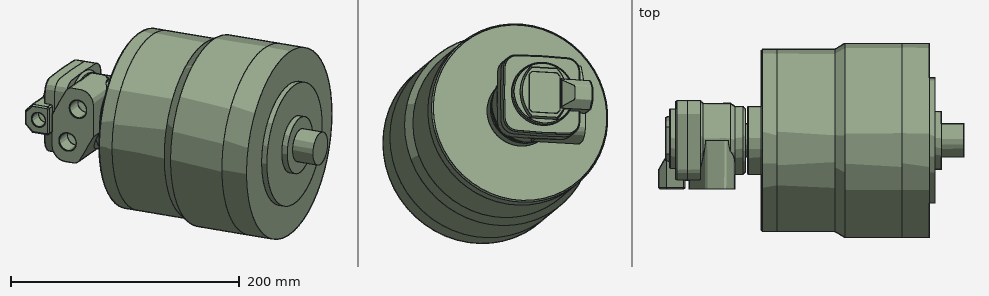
import cadquery as cq
import math


DRUM_DIAMETER = 170.0
DRUM_RADIUS = DRUM_DIAMETER / 2
NECK_RADIUS = 79.8
COVER_LENGTH = 13.5
COVER_CHAMFER = 1.3
CONE_START = 64.3
CONE_END = 73.2
REAR_COVER_START = 123.0
REAR_COVER_END = 147.0
PILOT_RADIUS = 55.0
PILOT_END = 152.2

RING_RADIUS = 25.4
RING_END = 157.5
SHAFT_RADIUS = 14.7
SHAFT_END = 177.3

STUB_RADIUS = 30.0
STUB_FRONT = -12.0
STUB_CHAMFER = 0.8
SPIGOT_RADIUS = SHAFT_RADIUS

BARREL_RADIUS = 32.5
TAPER_RADIUS = 34.7
BARREL_FRONT = -50.7
BARREL_END = -27.0
COLLAR_RADIUS = STUB_RADIUS
COLLAR_START = -23.0
DISTRIBUTOR_END = -13.5
COLLAR_CHAMFER = 2.5
SQUARE_BACK = -53.0
SQUARE_SEAM = -64.5
SQUARE_FRONT = -74.8
SQUARE_HALF = 35.0
SQUARE_CORNER_HALF = 34.2
SQUARE_CORNER_RADIUS = 11.7
SQUARE_CHAMFER = 1.0

BLOCK_X = -43.0
BLOCK_HALF_WIDTH = 20.0
BLOCK_HALF_HEIGHT = 34.7
BLOCK_SLOPE_TOP = 4.8
BLOCK_SLOPE_SIDE = 7.5
BLOCK_LARGE_RADIUS = 12.8
BLOCK_SMALL_RADIUS = 7.0
SIDE_FACE_Y = -42.5
PORT_RADIUS = 8.0
PORT_DEPTH = 16.0
PORT_OFFSET_X = 5.0
PORT_OFFSET_Z = 16.0
DRILL_HALF_ANGLE = 59.0
HOLE_CHAMFER = 0.5

STEP_RADIUS = 27.8
STEP_FRONT = -80.5
STEP_CHAMFER = 1.0
PAD_FRONT = -83.5
PAD_HALF_HEIGHT = 23.0
PAD_HALF_FLAT = 12.0
PAD_HALF_WIDTH = 21.4
PAD_DRAFT = 20.0
PAD_CUT_Y = -14.7
LABEL_HALF_WIDTH = 14.0
LABEL_HALF_HEIGHT = 18.2
LABEL_CORNER = 2.7
LABEL_DEPTH = 0.5
OUTLET_FRONT = -89.7
OUTLET_BACK = -66.5
OUTLET_HALF_HEIGHT = 13.0
OUTLET_HALF_FRONT = 6.1
OUTLET_SHOULDER_X = -82.8
OUTLET_START_Y = -15.8
OUTLET_SLOPE_START_X = -84.0
OUTLET_SLOPE_END_Y = -25.5
OUTLET_CHAMFER = 1.3
OUTLET_FILLET = 2.1
CABLE_HOLE_X = -76.4
CABLE_HOLE_RADIUS = 6.5
CABLE_HOLE_DEPTH = 13.4


def revolve_about_x(profile):
    """Turn an open (x, radius) profile, closed along the axis, about the X axis."""
    points = [(profile[0][0], 0), *profile, (profile[-1][0], 0)]
    return cq.Workplane("XY").polyline(points).close().revolve(360, (0, 0), (1, 0))


def cylinder_x(start, end, radius):
    return cq.Workplane("YZ", origin=(start, 0, 0)).circle(radius).extrude(end - start)


def square_prism(start, end):
    """Rounded square whose sides peak slightly at their middles."""
    outer = SQUARE_HALF
    inner = SQUARE_CORNER_HALF
    outline = [(outer, 0), (inner, inner), (0, outer), (-inner, inner),
               (-outer, 0), (-inner, -inner), (0, -outer), (inner, -inner)]
    prism = cq.Workplane("YZ", origin=(start, 0, 0)).polyline(outline).close().extrude(end - start)
    for y in (inner, -inner):
        for z in (inner, -inner):
            corner = ((start + end) / 2, y, z)
            prism = prism.edges(cq.selectors.NearestToPointSelector(corner)).fillet(SQUARE_CORNER_RADIUS)
    return prism


def side_hole(x, z, radius, depth):
    """Drilled hole with a chamfered rim and a conical bottom, entering the -Y side face."""
    tip = depth + radius / math.tan(math.radians(DRILL_HALF_ANGLE))
    profile = [
        (0, 0),
        (radius + HOLE_CHAMFER, 0),
        (radius, HOLE_CHAMFER),
        (radius, depth),
        (0, tip),
    ]
    drill = cq.Workplane("XY").polyline(profile).close().revolve(360, (0, 0), (0, 1))
    return drill.translate((x, SIDE_FACE_Y, z))


def make_front_cover():
    disc = cylinder_x(0, COVER_LENGTH, NECK_RADIUS).faces("<X").chamfer(COVER_CHAMFER)
    stub = cylinder_x(STUB_FRONT, 0, STUB_RADIUS).faces("<X").chamfer(STUB_CHAMFER)
    spigot = cylinder_x(DISTRIBUTOR_END, STUB_FRONT, SPIGOT_RADIUS)
    return disc.union(stub).union(spigot)


def make_housing():
    return revolve_about_x([
        (COVER_LENGTH, NECK_RADIUS),
        (CONE_START, NECK_RADIUS),
        (CONE_END, DRUM_RADIUS),
        (REAR_COVER_START, DRUM_RADIUS),
    ])


def make_rear_cover():
    return revolve_about_x([
        (REAR_COVER_START, DRUM_RADIUS),
        (REAR_COVER_END, DRUM_RADIUS),
        (REAR_COVER_END, PILOT_RADIUS),
        (PILOT_END, PILOT_RADIUS),
    ])


def make_retaining_ring():
    return cylinder_x(PILOT_END, RING_END, RING_RADIUS)


def make_output_shaft():
    return cylinder_x(RING_END, SHAFT_END, SHAFT_RADIUS)


def make_port_block():
    half_outline = [
        (-BLOCK_HALF_WIDTH, BLOCK_SLOPE_SIDE),
        (-BLOCK_SLOPE_TOP, BLOCK_HALF_HEIGHT),
        (BLOCK_HALF_WIDTH, BLOCK_HALF_HEIGHT),
    ]
    outline = half_outline + [(-x, -z) for x, z in half_outline]
    block = (
        cq.Workplane("XZ", origin=(BLOCK_X, 0, 0))
        .polyline(outline).close().extrude(-SIDE_FACE_Y)
    )
    for side in (1, -1):
        for x, radius in ((-BLOCK_SLOPE_TOP, BLOCK_SMALL_RADIUS), (BLOCK_HALF_WIDTH, BLOCK_LARGE_RADIUS)):
            corner = (BLOCK_X + side * x, SIDE_FACE_Y / 2, side * BLOCK_HALF_HEIGHT)
            block = block.edges(cq.selectors.NearestToPointSelector(corner)).fillet(radius)
    return block


def make_distributor():
    barrel = revolve_about_x([
        (SQUARE_BACK, TAPER_RADIUS),
        (BARREL_FRONT, BARREL_RADIUS),
        (BARREL_END, BARREL_RADIUS),
        (COLLAR_START, COLLAR_RADIUS),
        (DISTRIBUTOR_END - COLLAR_CHAMFER, COLLAR_RADIUS),
        (DISTRIBUTOR_END, COLLAR_RADIUS - COLLAR_CHAMFER),
    ])
    square = square_prism(SQUARE_SEAM, SQUARE_BACK)
    body = barrel.union(square).union(make_port_block())
    for side in (1, -1):
        x = BLOCK_X + side * PORT_OFFSET_X
        body = body.cut(side_hole(x, side * PORT_OFFSET_Z, PORT_RADIUS, PORT_DEPTH))
    return body


def make_pad():
    """Raised pad with bowed ends, cut back at the cable outlet and recessed for a label."""
    pad = (
        cq.Workplane("YZ", origin=(STEP_FRONT, 0, 0))
        .moveTo(-PAD_HALF_FLAT, PAD_HALF_HEIGHT)
        .lineTo(PAD_HALF_FLAT, PAD_HALF_HEIGHT)
        .threePointArc((PAD_HALF_WIDTH, 0), (PAD_HALF_FLAT, -PAD_HALF_HEIGHT))
        .lineTo(-PAD_HALF_FLAT, -PAD_HALF_HEIGHT)
        .threePointArc((-PAD_HALF_WIDTH, 0), (-PAD_HALF_FLAT, PAD_HALF_HEIGHT))
        .close().extrude(PAD_FRONT - STEP_FRONT, taper=PAD_DRAFT)
    )
    notch = cq.Workplane("XY").box(
        STEP_FRONT - PAD_FRONT, PAD_HALF_WIDTH, 2 * OUTLET_HALF_HEIGHT, centered=(False, False, True)
    ).translate((PAD_FRONT, PAD_CUT_Y - PAD_HALF_WIDTH, 0))
    label = (
        cq.Workplane("YZ", origin=(PAD_FRONT, 0, 0))
        .rect(2 * LABEL_HALF_WIDTH, 2 * LABEL_HALF_HEIGHT).extrude(LABEL_DEPTH)
        .edges("|X").chamfer(LABEL_CORNER)
    )
    return pad.cut(notch).cut(label)


def make_outlet():
    """Cable outlet bar running toward -Y, with a sloped start."""
    bar = (
        cq.Workplane("XZ", origin=(0, OUTLET_START_Y, 0))
        .polyline([
            (OUTLET_FRONT, OUTLET_HALF_FRONT),
            (OUTLET_SHOULDER_X, OUTLET_HALF_HEIGHT),
            (OUTLET_BACK, OUTLET_HALF_HEIGHT),
            (OUTLET_BACK, -OUTLET_HALF_HEIGHT),
            (OUTLET_SHOULDER_X, -OUTLET_HALF_HEIGHT),
            (OUTLET_FRONT, -OUTLET_HALF_FRONT),
        ])
        .close().extrude(OUTLET_START_Y - SIDE_FACE_Y)
        .edges("|Y and >X").chamfer(OUTLET_CHAMFER)
        .edges("|Y and <X").fillet(OUTLET_FILLET)
        .faces("<Y").chamfer(OUTLET_CHAMFER)
    )
    slope = (
        cq.Workplane("XY")
        .polyline([
            (OUTLET_SLOPE_START_X, OUTLET_START_Y),
            (OUTLET_FRONT, OUTLET_SLOPE_END_Y),
            (OUTLET_FRONT, OUTLET_START_Y),
        ])
        .close().extrude(OUTLET_HALF_HEIGHT, both=True)
    )
    return bar.cut(slope)


def make_sensor_cover():
    flange = square_prism(SQUARE_FRONT, SQUARE_SEAM).faces("<X").chamfer(SQUARE_CHAMFER)
    step = cylinder_x(STEP_FRONT, SQUARE_FRONT, STEP_RADIUS).faces("<X").chamfer(STEP_CHAMFER)
    cable_hole = side_hole(CABLE_HOLE_X, 0, CABLE_HOLE_RADIUS, CABLE_HOLE_DEPTH)
    return flange.union(step).union(make_pad()).union(make_outlet()).cut(cable_hole)


front_cover = make_front_cover()
housing = make_housing()
rear_cover = make_rear_cover()
retaining_ring = make_retaining_ring()
output_shaft = make_output_shaft()
distributor = make_distributor()
sensor_cover = make_sensor_cover()

result = cq.Compound.makeCompound([
    front_cover.val(),
    housing.val(),
    rear_cover.val(),
    retaining_ring.val(),
    output_shaft.val(),
    distributor.val(),
    sensor_cover.val(),
])